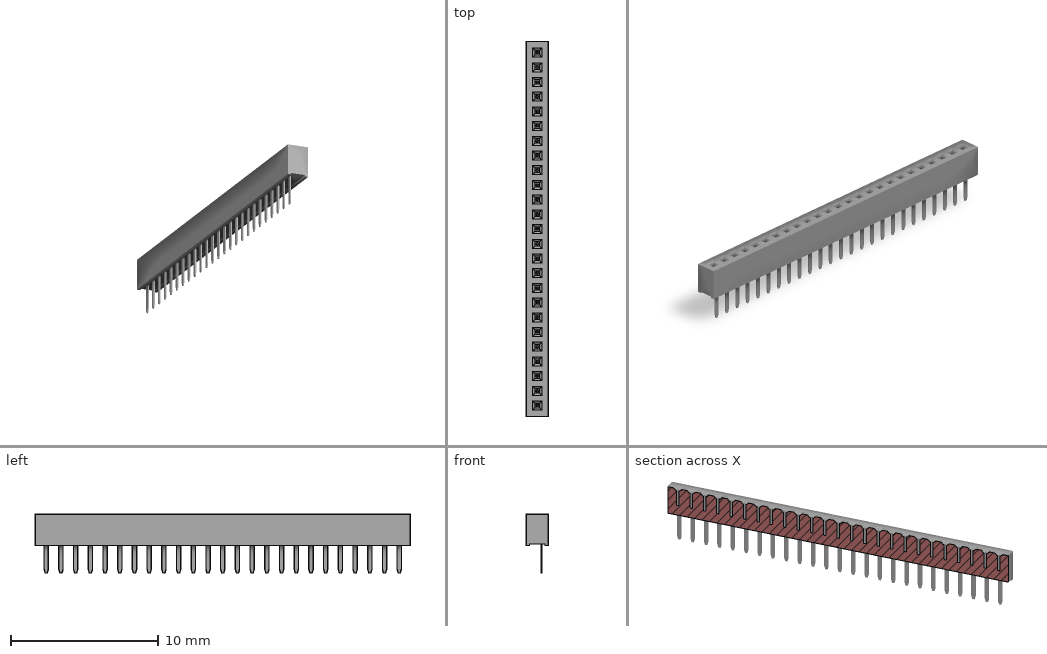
import cadquery as cq

length = 25.5
width = 1.5
body_height = 2.15
total_height = 4.0

channel_width = 1.02
channel_depth = 0.1
channel_roof = channel_depth - body_height

contact_count = 25
row_length = 24.0
pitch = row_length / (contact_count - 1)
contact_places = [(0, index * pitch - row_length / 2) for index in range(contact_count)]

lead_in_size = 0.6
lead_in_depth = 0.15
lead_in_floor = lead_in_size - 2 * lead_in_depth
hole_diameter = 0.15
hole_depth = 1.28

pin_inner_face = 0.25
pin_thickness = 0.08
pin_width = 0.3
tip_width = 0.15
tip_length = 0.25


def make_housing():
    bar = cq.Workplane("XY").box(width, length, body_height, centered=(True, True, False))
    channel = cq.Workplane("XY").box(channel_width, length, channel_depth, centered=(True, True, False))
    return bar.cut(channel).translate((0, 0, -body_height))


def make_socket():
    lead_in = (
        cq.Workplane("XY")
        .rect(lead_in_size, lead_in_size)
        .workplane(offset=-lead_in_depth)
        .rect(lead_in_floor, lead_in_floor)
        .loft(ruled=True)
    )
    hole = cq.Workplane("XY").circle(hole_diameter / 2).extrude(-hole_depth)
    return lead_in.union(hole)


def make_pin():
    taper_start = tip_length - total_height
    outline = [
        (-pin_width / 2, channel_roof),
        (-pin_width / 2, taper_start),
        (-tip_width / 2, -total_height),
        (tip_width / 2, -total_height),
        (pin_width / 2, taper_start),
        (pin_width / 2, channel_roof),
    ]
    blade = cq.Workplane("YZ").polyline(outline).close().extrude(pin_thickness)
    return blade.translate((pin_inner_face, 0, 0))


def at_contacts(shape):
    solid = shape.val()
    return cq.Workplane("XY").pushPoints(contact_places).eachpoint(lambda place: solid.moved(place))


result = make_housing().cut(at_contacts(make_socket())).union(at_contacts(make_pin()))